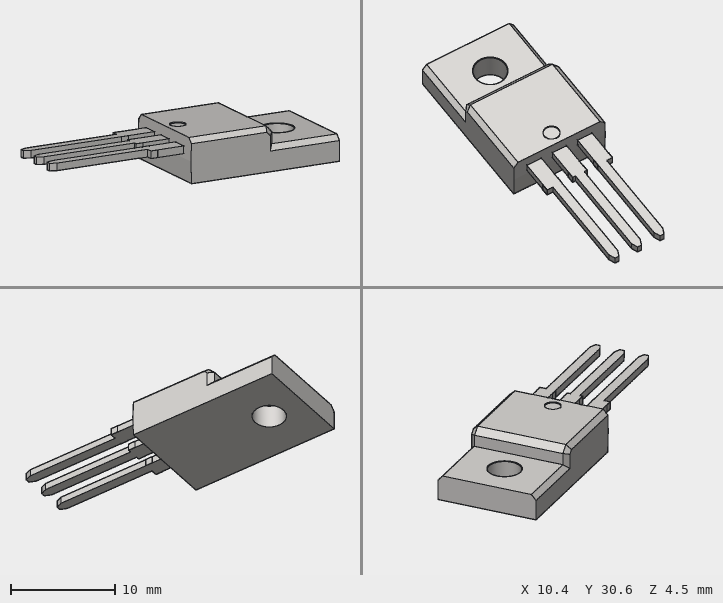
import cadquery as cq

HOUSING_WIDTH = 10.4
HOUSING_LENGTH = 16.37
HOUSING_HEIGHT = 4.5
TOTAL_LENGTH = 30.6
PARTING_HEIGHT = 2.23
END_DRAFT = 0.1

TAB_HEIGHT = 2.63
STEP_WALL_Y = 9.25
STEP_BEVEL = 0.67
SIDE_BEVEL_DEPTH = 0.5
SIDE_BEVEL_WIDTH = 0.55

HOLE_DIAMETER = 3.3
HOLE_CHAMFER = 0.05
HOLE_TO_TAB_END = 3.98

MARK_DIAMETER = 1.62
MARK_DEPTH = 0.12
MARK_Y = 1.47

LEAD_PITCH = 2.57
LEAD_WIDTH = 1.0
LEAD_THICKNESS = 0.75
LEAD_BOTTOM = 2.65
LEAD_LENGTH = TOTAL_LENGTH - HOUSING_LENGTH
LEAD_INSERTION = 0.92
SHOULDER_LENGTH = 3.58
OUTER_SHOULDER_WIDTH = 1.65
MIDDLE_SHOULDER_WIDTH = 1.62
TIP_LENGTH = 0.67
TIP_WIDTH = 0.45

STUB_THICKNESS = 0.03
STUB_LENGTH = 0.75


def lead_bar(x_start, x_end, y_start, y_end):
    """Rectangular bar at lead height between two X and two Y positions."""
    return (
        cq.Workplane("XY", origin=(0, 0, LEAD_BOTTOM))
        .moveTo((x_start + x_end) / 2, (y_start + y_end) / 2)
        .rect(x_end - x_start, y_end - y_start)
        .extrude(LEAD_THICKNESS)
    )


def lead_pin(x):
    """Narrow pin with a tapered tip, centred on x."""
    half_width = LEAD_WIDTH / 2
    half_tip = TIP_WIDTH / 2
    taper_y = TIP_LENGTH - LEAD_LENGTH
    return (
        cq.Workplane("XY", origin=(x, 0, LEAD_BOTTOM))
        .polyline([
            (-half_width, LEAD_INSERTION),
            (half_width, LEAD_INSERTION),
            (half_width, taper_y),
            (half_tip, -LEAD_LENGTH),
            (-half_tip, -LEAD_LENGTH),
            (-half_width, taper_y),
        ])
        .close()
        .extrude(LEAD_THICKNESS)
    )


def shoulder_sides(position):
    """Left and right X of a lead's shoulder; position is -1, 0 or 1 across the row."""
    if position == 0:
        return -MIDDLE_SHOULDER_WIDTH / 2, MIDDLE_SHOULDER_WIDTH / 2
    inner_side = position * (LEAD_PITCH - LEAD_WIDTH / 2)
    outer_side = inner_side + position * OUTER_SHOULDER_WIDTH
    return min(inner_side, outer_side), max(inner_side, outer_side)


def make_lead(position):
    """Lead made of a tapered pin and a wider shoulder next to the housing."""
    left, right = shoulder_sides(position)
    shoulder = lead_bar(left, right, -SHOULDER_LENGTH, LEAD_INSERTION)
    return lead_pin(position * LEAD_PITCH).union(shoulder).clean()


def make_stub(position, side):
    """Stub lying against the left (-1) or right (1) side of a lead's shoulder."""
    left, right = shoulder_sides(position)
    stub_end = STUB_LENGTH - SHOULDER_LENGTH
    if side < 0:
        return lead_bar(left - STUB_THICKNESS, left, -SHOULDER_LENGTH, stub_end)
    return lead_bar(right, right + STUB_THICKNESS, -SHOULDER_LENGTH, stub_end)


def bevelled_block():
    """Stepped side profile extruded across X, its upper side edges bevelled."""
    block = (
        cq.Workplane("YZ", origin=(-HOUSING_WIDTH / 2, 0, 0))
        .polyline([
            (END_DRAFT, 0),
            (HOUSING_LENGTH, 0),
            (HOUSING_LENGTH, TAB_HEIGHT),
            (STEP_WALL_Y, TAB_HEIGHT),
            (STEP_WALL_Y, HOUSING_HEIGHT - STEP_BEVEL),
            (STEP_WALL_Y - STEP_BEVEL, HOUSING_HEIGHT),
            (END_DRAFT, HOUSING_HEIGHT),
            (0, PARTING_HEIGHT),
        ])
        .close()
        .extrude(HOUSING_WIDTH)
    )
    solid = block.val()
    for side in ("<X", ">X"):
        side_face = cq.Workplane(solid).faces(side)
        bevel_edges = [
            edge for edge in side_face.edges().vals()
            if edge.Center().z >= TAB_HEIGHT and edge.Center().y > END_DRAFT
        ]
        solid = solid.chamfer(SIDE_BEVEL_DEPTH, SIDE_BEVEL_WIDTH, bevel_edges)
    return cq.Workplane(solid)


def mounting_hole():
    """Cutter for the mounting hole and the chamfer at its top rim."""
    hole_radius = HOLE_DIAMETER / 2
    rim_radius = hole_radius + HOLE_CHAMFER
    hole_y = HOUSING_LENGTH - HOLE_TO_TAB_END
    bore = cq.Solid.makeCylinder(hole_radius, TAB_HEIGHT, cq.Vector(0, hole_y, 0))
    rim_base = cq.Vector(0, hole_y, TAB_HEIGHT - HOLE_CHAMFER)
    rim = cq.Solid.makeCone(hole_radius, rim_radius, HOLE_CHAMFER, rim_base)
    return cq.Workplane(bore).union(cq.Workplane(rim))


def mark_recess():
    """Cutter for the shallow round mark."""
    return (
        cq.Workplane("XY", origin=(0, MARK_Y, HOUSING_HEIGHT - MARK_DEPTH))
        .circle(MARK_DIAMETER / 2)
        .extrude(MARK_DEPTH)
    )


def make_housing(seated_leads):
    """Moulded housing with a matching socket for every lead."""
    housing = bevelled_block().cut(mounting_hole()).cut(mark_recess())
    for lead in seated_leads:
        housing = housing.cut(lead)
    return housing


LEAD_POSITIONS = (-1, 0, 1)
leads = [make_lead(position) for position in LEAD_POSITIONS]
stubs = [make_stub(position, side) for position in LEAD_POSITIONS for side in (-1, 1)]
housing = make_housing(leads)

result = cq.Compound.makeCompound([
    housing.solids().val(),
    *[lead.solids().val() for lead in leads],
    *[stub.solids().val() for stub in stubs],
])